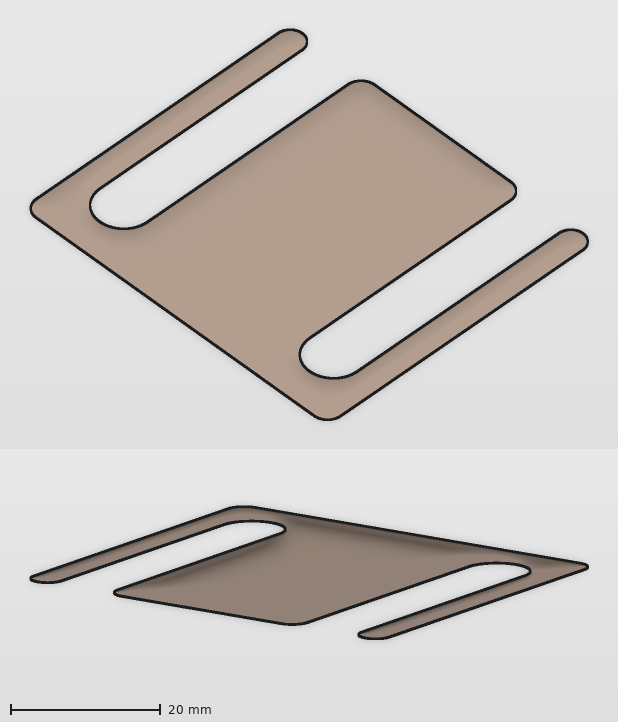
import cadquery as cq

width = 58.0
depth = 50.0
thickness = 0.1

tab_width = 31.0
slot_width = 9.0
base_height = 5.5

corner_radius = 2.5

slot_radius = slot_width / 2
slot_center_x = (tab_width + slot_width) / 2
slot_center_y = -depth / 2 + base_height + slot_radius
arm_width = (width - tab_width) / 2 - slot_width
arm_center_x = (width - arm_width) / 2
tip_radius = arm_width / 2
tip_center_y = depth / 2 - tip_radius


def prism(center_x, bottom, top, size_x):
    """Rectangular block of plate thickness spanning bottom to top along Y."""
    return (
        cq.Workplane("XY")
        .center(center_x, (bottom + top) / 2)
        .rect(size_x, top - bottom)
        .extrude(thickness)
    )


def disc(center_x, center_y, radius):
    """Round piece of plate thickness."""
    return cq.Workplane("XY").center(center_x, center_y).circle(radius).extrude(thickness)


base = prism(0, -depth / 2, slot_center_y, width).edges("|Z and <Y").fillet(corner_radius)

tab = prism(0, slot_center_y, depth / 2, tab_width).edges("|Z and >Y").fillet(corner_radius)

result = base.union(tab)

for side in (-1, 1):
    arm = prism(side * arm_center_x, slot_center_y, tip_center_y, arm_width)
    tip = disc(side * arm_center_x, tip_center_y, tip_radius)
    slot_end = disc(side * slot_center_x, slot_center_y, slot_radius)
    result = result.union(arm).union(tip).cut(slot_end)

result = result.clean()